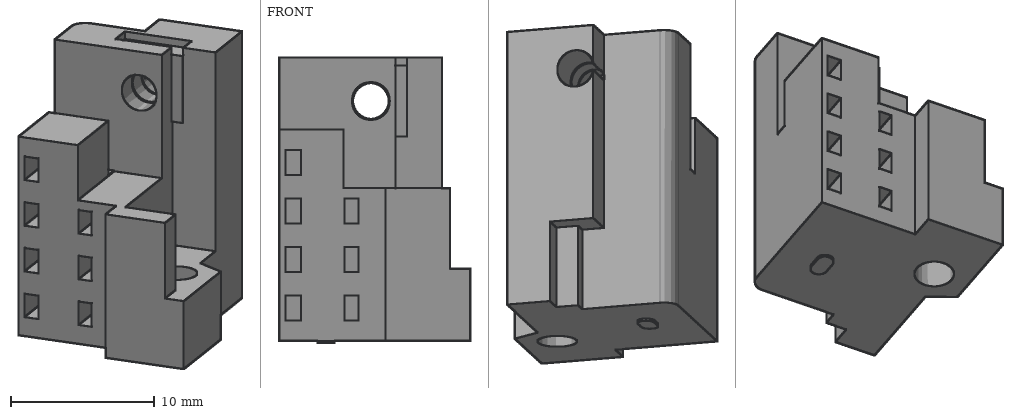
import cadquery as cq

width = 13.35
depth = 15.06
height = 19.95

pad_height = 0.15
underside_z = pad_height
shelf_z = 5.2
floor_z = 10.81
gap_floor_z = 10.87
block_top_z = 14.9

body_right_x = 11.37
body_front_y = 1.9
tower_right_x = 8.12
tower_front_y = 8.38
tower_back_y = 12.45
tower_corner_radius = 1.04
block_width = 4.5
block_back_y = 7.35

flange_left_x = 7.42
flange_right_x = 11.93
bevel_start_y = 6.6
bevel_end_y = 7.65

column_left_x = 5.1
column_front_y = 10.31

undercut_top_z = 5.93
undercut_step_y = 13.49
undercut_inner_depth = 1.58
undercut_outer_depth = 2 * undercut_inner_depth

insert_left_x = 3.87
insert_right_x = 8.92
insert_front_y = 10.15
insert_back_y = 11.81
insert_bottom_z = 14.42
insert_top_z = 19.4

cross_hole_x = 6.4
cross_hole_z = 16.9
cross_hole_diameter = 2.63
insert_hole_diameter = 2.5
upright_hole_x = 10.7
upright_hole_y = 5.13
upright_hole_diameter = 2.75

window_columns = [(0.45, 1.05, 4), (4.57, 0.98, 3)]
window_height = 1.74
window_bottom_z = 1.58
window_pitch = 3.4
window_depth = 3.99

pad_width = 1.2
pad_length = 2.07
pad_center_x = 3.27
pad_center_y = 7.88


def box(x_range, y_range, z_range):
    """Box between two X, two Y and two Z values."""
    (x0, x1), (y0, y1), (z0, z1) = x_range, y_range, z_range
    return cq.Workplane("XY").box(x1 - x0, y1 - y0, z1 - z0, centered=False).translate((x0, y0, z0))


def cross_hole(diameter):
    """Cylinder along Y through the whole depth of the part."""
    plane = cq.Workplane("XZ", origin=(cross_hole_x, 0, cross_hole_z))
    return plane.circle(diameter / 2).extrude(-depth)


def make_base():
    """Low body, flange and bevelled shelf."""
    body = box((0, tower_right_x), (body_front_y, tower_back_y), (underside_z, floor_z))
    flange = box((flange_left_x, flange_right_x), (0, body_front_y), (underside_z, floor_z))
    shelf_outline = [
        (flange_left_x, 0),
        (width, 0),
        (width, bevel_start_y),
        (body_right_x, bevel_end_y),
        (body_right_x, tower_back_y),
        (flange_left_x, tower_back_y),
    ]
    shelf = cq.Workplane("XY").workplane(offset=underside_z).polyline(shelf_outline).close()
    return body.union(flange).union(shelf.extrude(shelf_z - underside_z))


def make_upper():
    """Front block, raised floor of the gap behind it, tower and back column."""
    block = box((0, block_width), (body_front_y, block_back_y), (underside_z, block_top_z))
    gap_floor = box((0, block_width), (block_back_y, tower_front_y), (underside_z, gap_floor_z))
    tower = box((0, tower_right_x), (tower_front_y, tower_back_y), (underside_z, height))
    column = box((column_left_x, body_right_x), (column_front_y, depth), (underside_z, height))
    return block.union(gap_floor).union(tower).union(column)


def make_undercut():
    """Two-depth notch in the left face of the column foot."""
    z_range = (underside_z, undercut_top_z)
    inner_x = (column_left_x, column_left_x + undercut_inner_depth)
    outer_x = (column_left_x, column_left_x + undercut_outer_depth)
    inner = box(inner_x, (tower_back_y, undercut_step_y), z_range)
    outer = box(outer_x, (undercut_step_y, depth), z_range)
    return inner.union(outer)


def make_windows():
    """Blind rectangular windows, stacked upward in two columns."""
    windows = cq.Workplane("XY")
    for left_x, window_width, count in window_columns:
        for row in range(count):
            bottom_z = window_bottom_z + row * window_pitch
            window = box(
                (left_x, left_x + window_width),
                (body_front_y, body_front_y + window_depth),
                (bottom_z, bottom_z + window_height),
            )
            windows = windows.add(window)
    return windows.combine()


def make_pad():
    """Round-ended pad reaching down from the underside."""
    plane = cq.Workplane("XY").center(pad_center_x, pad_center_y)
    return plane.slot2D(pad_length, pad_width, 90).extrude(pad_height)


result = make_base().union(make_upper())

outer_corner = cq.selectors.NearestToPointSelector((0, tower_back_y, height / 2))
result = result.edges("|Z").edges(outer_corner).fillet(tower_corner_radius)

insert_plan = (insert_left_x, insert_right_x), (insert_front_y, insert_back_y)
pocket = box(*insert_plan, (insert_bottom_z, height))
insert = box(*insert_plan, (insert_bottom_z, insert_top_z)).cut(cross_hole(insert_hole_diameter))
result = result.cut(pocket).cut(cross_hole(cross_hole_diameter)).union(insert)

upright_hole = cq.Workplane("XY").center(upright_hole_x, upright_hole_y)
result = result.cut(upright_hole.circle(upright_hole_diameter / 2).extrude(height))

result = result.cut(make_undercut()).cut(make_windows()).union(make_pad())